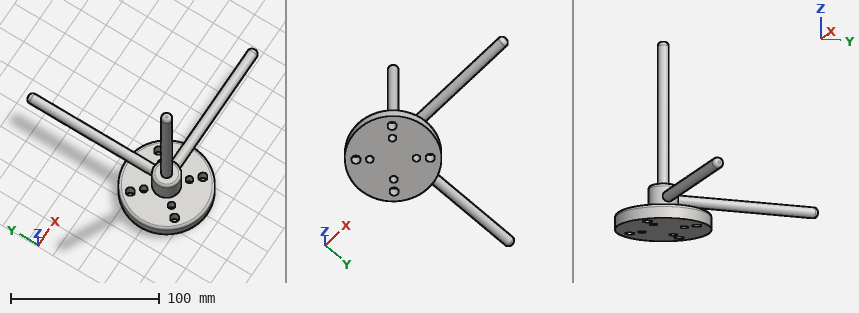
import cadquery as cq

flange_diameter = 65.0
flange_height = 10.0
hub_diameter = 20.0
hub_height = 20.0
rim_radius = 2.0

hole_directions = 4
outer_hole_diameter = 6.1
outer_hole_radius = 25.0
inner_hole_diameter = 5.1
inner_hole_radius = 15.7

rod_diameter = 7.5
rod_exposed_length = 100.0
rod_tip_radius = 3.0
socket_depth = 5.0
side_rod_height = 20.8

hub_top = flange_height + hub_height
rod_length = rod_exposed_length + socket_depth
rod_start = hub_diameter / 2 - socket_depth

rod_seats = [
    cq.Plane(origin=(rod_start, 0, side_rod_height), xDir=(0, 1, 0), normal=(1, 0, 0)),
    cq.Plane(origin=(0, rod_start, side_rod_height), xDir=(1, 0, 0), normal=(0, 1, 0)),
    cq.Plane(origin=(0, 0, hub_top - socket_depth), xDir=(1, 0, 0), normal=(0, 0, 1)),
]


def round_boss(diameter, height, bottom):
    """Vertical cylinder with a rounded upper edge."""
    boss = cq.Workplane("XY", origin=(0, 0, bottom)).circle(diameter / 2).extrude(height)
    return boss.faces(">Z").edges().fillet(rim_radius)


def hole_ring(diameter, ring_radius):
    """Cutters for one ring of through holes on the diagonals."""
    first_angle = 180 / hole_directions
    ring = cq.Workplane("XY").polarArray(ring_radius, first_angle, 360, hole_directions)
    return ring.circle(diameter / 2).extrude(flange_height)


def make_base():
    """Flange and hub with the mounting holes and a blind socket for each rod."""
    base = round_boss(flange_diameter, flange_height, 0)
    base = base.union(round_boss(hub_diameter, hub_height, flange_height))
    base = base.cut(hole_ring(outer_hole_diameter, outer_hole_radius))
    base = base.cut(hole_ring(inner_hole_diameter, inner_hole_radius))
    for seat in rod_seats:
        base = base.cut(cq.Workplane(seat).circle(rod_diameter / 2).extrude(rod_length))
    return base


def make_rod(seat):
    """Round rod standing on its seat plane, with a rounded free end."""
    rod = cq.Workplane(seat).circle(rod_diameter / 2).extrude(rod_length)
    free_end = rod.faces(cq.selectors.DirectionMinMaxSelector(seat.zDir, True))
    return free_end.edges().fillet(rod_tip_radius)


base = make_base()
rods = [make_rod(seat) for seat in rod_seats]

result = cq.Compound.makeCompound([base.val(), *[rod.val() for rod in rods]])